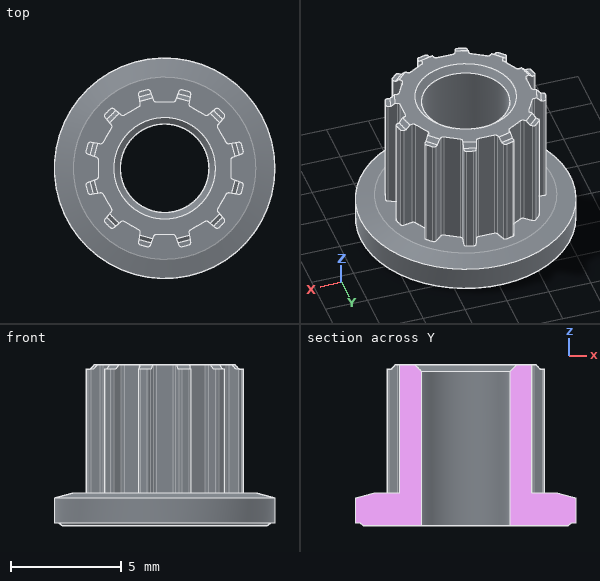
import cadquery as cq
import math

flange_radius = 5.0
flange_top = 1.5
flange_face_radius = 4.13
flange_slope_angle = 15.0
foot_height = 0.13
foot_top_radius = 4.82
foot_bottom_radius = 4.64

total_height = 7.3
tooth_count = 12
tip_distance = 3.64
tip_round = 0.12
root_distance = 3.0
root_half_width = 0.47
root_round = 0.13
groove_flank_angle = 20.0

ledge_depth = 0.2
ledge_distance = 3.42
bevel_top_distance = ledge_distance - ledge_depth

bore_radius = 2.0
countersink_radius = 2.3
countersink_depth = countersink_radius - bore_radius

tooth_pitch = 360.0 / tooth_count
half_pitch = tooth_pitch / 2


def make_flange():
    """Disc with a shallow conical top, standing on a smaller tapered foot."""
    slope_height = (flange_radius - flange_face_radius) * math.tan(math.radians(flange_slope_angle))
    half_section = [
        (0, 0),
        (foot_bottom_radius, 0),
        (foot_top_radius, foot_height),
        (flange_radius, foot_height),
        (flange_radius, flange_top - slope_height),
        (flange_face_radius, flange_top),
        (0, flange_top),
    ]
    return cq.Workplane("XZ").polyline(half_section).close().revolve(360, (0, 0, 0), (0, 1, 0))


def rotated(point, angle):
    """Turn a point about the hub axis by an angle in degrees."""
    x, y = point
    turn = math.radians(angle)
    return x * math.cos(turn) - y * math.sin(turn), x * math.sin(turn) + y * math.cos(turn)


def make_hub():
    """Hub with flat-bottomed grooves between flat-tipped teeth."""
    root_x, root_y = rotated((root_distance, root_half_width), -half_pitch)
    tooth_taper = math.radians(groove_flank_angle - half_pitch)
    tip_half_width = -root_y - (tip_distance - root_x) * math.tan(tooth_taper)
    tooth = [
        (root_x, root_y),
        (tip_distance, -tip_half_width),
        (tip_distance, tip_half_width),
        (root_x, -root_y),
    ]

    outline = []
    for index in range(tooth_count):
        angle = half_pitch + index * tooth_pitch
        outline += [rotated(corner, angle) for corner in tooth]

    return cq.Workplane("XY").polyline(outline).close().extrude(total_height)


def round_teeth(hub):
    """Round the tooth tips and the groove corners."""
    split_radius = (root_distance + tip_distance) / 2
    upright = hub.edges("|Z").vals()
    roots = [edge for edge in upright if math.hypot(edge.Center().x, edge.Center().y) < split_radius]
    tips = [edge for edge in upright if math.hypot(edge.Center().x, edge.Center().y) > split_radius]
    hub = hub.newObject(tips).fillet(tip_round)
    return cq.Workplane(hub.val().fillet(root_round, roots))


def bevel_tooth_ends(hub):
    """Step the top of each tooth down to a ledge with a sloping flat behind it."""
    ledge_height = total_height - ledge_depth
    clear_distance = tip_distance + tip_round
    section = [
        (bevel_top_distance, total_height),
        (ledge_distance, ledge_height),
        (clear_distance, ledge_height),
        (clear_distance, total_height),
    ]
    cutter = cq.Workplane("XZ").polyline(section).close().extrude(root_half_width, both=True)
    for index in range(tooth_count):
        hub = hub.cut(cutter.rotate((0, 0, 0), (0, 0, 1), half_pitch + index * tooth_pitch))
    return hub


def make_bore():
    """Through bore with a countersunk mouth at the top."""
    half_section = [
        (0, 0),
        (bore_radius, 0),
        (bore_radius, total_height - countersink_depth),
        (countersink_radius, total_height),
        (0, total_height),
    ]
    return cq.Workplane("XZ").polyline(half_section).close().revolve(360, (0, 0, 0), (0, 1, 0))


hub = bevel_tooth_ends(round_teeth(make_hub()))
result = make_flange().union(hub).cut(make_bore())